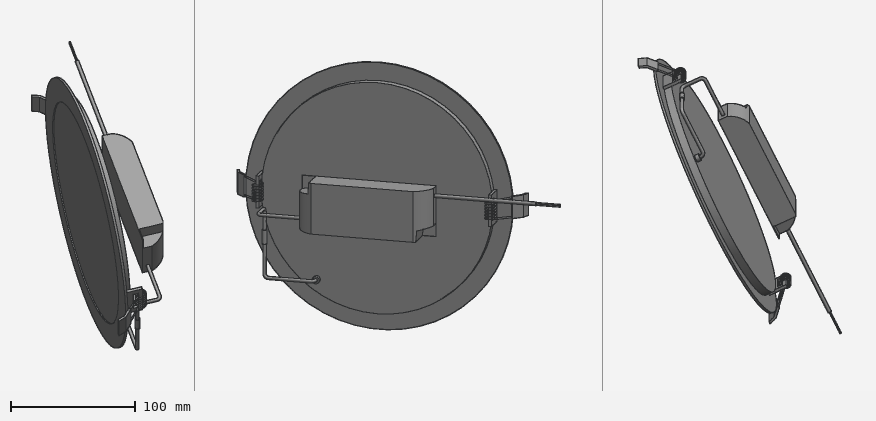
import cadquery as cq
import math


OVERALL_LENGTH = 282.2
OVERALL_DEPTH = 61.0
OVERLAP = 0.5

FLANGE_DIA = 223.0
FLANGE_THICK = 2.0
LENS_DIA = 183.0
LENS_RECESS = 1.0
DISC_DIA = 193.0
DISC_BACK_Y = 8.5

BRACKET_X = 97.0
BRACKET_THICK = 2.5
BRACKET_WIDTH = 26.5
BRACKET_TOP_Y = 18.0
WINDOW_BOTTOM_Y = 10.5
WINDOW_TOP_Y = 14.7
WINDOW_WIDTH = 17.5

DRIVER_LENGTH = 111.8
DRIVER_HEIGHT = 42.3
DRIVER_FRONT_Y = 30.8
DRIVER_BACK_Y = 52.2
SHOULDER_SIZE = 13.3
SHOULDER_RADIUS = 22.5
BASE_THICK = 0.8
NOTCH_LENGTH = 10.5
NOTCH_HEIGHT = 9.3
NOTCH_LENGTH_TAPER = 0.8
NOTCH_HEIGHT_TAPER = 1.7

CABLE_Y = 35.3
SUPPLY_DIA = 3.0
SUPPLY_Z = 14.0
SUPPLY_END_X = -140.5
STRAND_DIA = 1.3
STRAND_PITCH = 1.25
STRAND_END_X = -160.5
LAMP_CABLE_DIA = 2.8
LAMP_CABLE_Z = -13.5
BEND_RADIUS = 3.5
LOOP_X = 91.7
LOOP_Y = 15.8
SLEEVE_DIA = 4.0
SLEEVE_LENGTH = 11.9
SLEEVE_Z = -37.5
GLAND_X = 50.2
GLAND_Z = -71.7
GLAND_DIA = 6.0
GLAND_HEIGHT = 3.5

WIRE_DIA = 1.3
COIL_INNER_DIA = 6.5
COIL_Y = 17.0
COIL_TURNS = 6
COIL_LENGTH = 15.2
LEG_SPREAD = 16.6
LEG_ANGLE = math.radians(45)
PLATE_WIDTH = 18.5
PLATE_THICK = 2.0
PLATE_START = (111.5, 3.7)
PLATE_BEND = (118.2, -2.5)
TIP_X = STRAND_END_X + OVERALL_LENGTH
TIP_Y = DRIVER_BACK_Y - OVERALL_DEPTH


def rod(start, end, diameter):
    """Round bar between two points."""
    start = cq.Vector(*start)
    axis = cq.Vector(*end) - start
    return cq.Workplane(cq.Solid.makeCylinder(diameter / 2, axis.Length, start, axis))


def block(x_range, y_range, z_range):
    """Box given by its lower and upper limit along each axis."""
    limits = (x_range, y_range, z_range)
    sizes = [high - low for low, high in limits]
    corner = cq.Vector(*[low for low, high in limits])
    return cq.Workplane(cq.Solid.makeBox(*sizes, corner))


def disc(diameter, y_low, y_high):
    """Round disc around the Y axis."""
    return rod((0, y_low, 0), (0, y_high, 0), diameter)


def panel():
    """Trim ring with the recessed lens and the disc behind it."""
    body = disc(FLANGE_DIA, 0, FLANGE_THICK).union(disc(DISC_DIA, FLANGE_THICK - OVERLAP, DISC_BACK_Y))
    return body.cut(disc(LENS_DIA, -OVERLAP, LENS_RECESS))


def bracket(side):
    """Upright plate at one side (+1 or -1), with its window."""
    x_range = (side * BRACKET_X - BRACKET_THICK / 2, side * BRACKET_X + BRACKET_THICK / 2)
    plate = block(x_range, (FLANGE_THICK - OVERLAP, BRACKET_TOP_Y), (-BRACKET_WIDTH / 2, BRACKET_WIDTH / 2))
    window = block(x_range, (WINDOW_BOTTOM_Y, WINDOW_TOP_Y), (-WINDOW_WIDTH / 2, WINDOW_WIDTH / 2))
    return plate.cut(window)


def driver_notch():
    """Tapered cut at the -X, -Z corner, above the base plate."""
    end_x = -DRIVER_LENGTH / 2
    bottom_z = -DRIVER_HEIGHT / 2
    wall_x = end_x + NOTCH_LENGTH
    wall_z = bottom_z + NOTCH_HEIGHT
    base_top = DRIVER_FRONT_Y + BASE_THICK
    return (
        cq.Workplane("XZ", origin=(0, base_top, 0))
        .moveTo(end_x, bottom_z)
        .lineTo(end_x, wall_z + NOTCH_HEIGHT_TAPER)
        .lineTo(wall_x, wall_z)
        .lineTo(wall_x + NOTCH_LENGTH_TAPER, bottom_z)
        .close()
        .extrude(base_top - DRIVER_BACK_Y)
    )


def driver():
    """Box with two rounded shoulders and a notch at two opposite corners."""
    half = DRIVER_LENGTH / 2
    shoulder_y = DRIVER_BACK_Y - SHOULDER_SIZE
    top_half = half - SHOULDER_SIZE
    box = (
        cq.Workplane("XY", origin=(0, 0, -DRIVER_HEIGHT / 2))
        .moveTo(-half, DRIVER_FRONT_Y)
        .lineTo(half, DRIVER_FRONT_Y)
        .lineTo(half, shoulder_y)
        .radiusArc((top_half, DRIVER_BACK_Y), -SHOULDER_RADIUS)
        .lineTo(-top_half, DRIVER_BACK_Y)
        .radiusArc((-half, shoulder_y), -SHOULDER_RADIUS)
        .close()
        .extrude(DRIVER_HEIGHT)
    )
    for turn in (0, 180):
        box = box.cut(driver_notch().rotate((0, 0, 0), (0, 1, 0), turn))
    return box


def bent_cable(corners, diameter, radius):
    """Round cable along straight runs at right angles, joined by arcs."""
    points = [cq.Vector(*corner) for corner in corners]
    edges = []
    run_start = points[0]
    for before, corner, after in zip(points, points[1:], points[2:]):
        back = (before - corner).normalized() * radius
        ahead = (after - corner).normalized() * radius
        middle = corner + (back + ahead) * (1 - math.sqrt(0.5))
        edges.append(cq.Edge.makeLine(run_start, corner + back))
        edges.append(cq.Edge.makeThreePointArc(corner + back, middle, corner + ahead))
        run_start = corner + ahead
    edges.append(cq.Edge.makeLine(run_start, points[-1]))
    section = cq.Plane(origin=points[0], normal=points[1] - points[0])
    return cq.Workplane(section).circle(diameter / 2).sweep(cq.Wire.assembleEdges(edges))


def lamp_cable():
    """Cable from the driver down to the gland on the disc, with its sleeve."""
    cable = bent_cable(
        [
            (DRIVER_LENGTH / 2 - OVERLAP, CABLE_Y, LAMP_CABLE_Z),
            (LOOP_X, CABLE_Y, LAMP_CABLE_Z),
            (LOOP_X, LOOP_Y, LAMP_CABLE_Z),
            (LOOP_X, LOOP_Y, GLAND_Z),
            (GLAND_X, LOOP_Y, GLAND_Z),
            (GLAND_X, DISC_BACK_Y, GLAND_Z),
        ],
        LAMP_CABLE_DIA,
        BEND_RADIUS,
    )
    sleeve = rod(
        (LOOP_X, LOOP_Y, SLEEVE_Z - SLEEVE_LENGTH / 2),
        (LOOP_X, LOOP_Y, SLEEVE_Z + SLEEVE_LENGTH / 2),
        SLEEVE_DIA,
    )
    gland = rod(
        (GLAND_X, DISC_BACK_Y - OVERLAP, GLAND_Z),
        (GLAND_X, DISC_BACK_Y + GLAND_HEIGHT, GLAND_Z),
        GLAND_DIA,
    )
    return cable.union(sleeve).union(gland)


def supply_cable():
    """Straight supply cable ending in two bare strands."""
    inner_x = OVERLAP - DRIVER_LENGTH / 2
    cable = rod((SUPPLY_END_X, CABLE_Y, SUPPLY_Z), (inner_x, CABLE_Y, SUPPLY_Z), SUPPLY_DIA)
    strand_inner_x = SUPPLY_END_X + OVERLAP
    for side in (-1, 1):
        strand_z = SUPPLY_Z + side * STRAND_PITCH / 2
        strand = rod((STRAND_END_X, CABLE_Y, strand_z), (strand_inner_x, CABLE_Y, strand_z), STRAND_DIA)
        cable = cable.union(strand)
    return cable


def make_lamp():
    body = panel()
    for side in (-1, 1):
        body = body.union(bracket(side))
    return body.union(driver()).union(lamp_cable()).union(supply_cable())


def coil(radius):
    """Helical wire around the bracket's bar, starting and ending at the leg angle."""
    pitch = COIL_LENGTH / COIL_TURNS
    helix = cq.Wire.makeHelix(pitch, COIL_LENGTH, radius)
    climb = cq.Vector(0, 2 * math.pi * radius, pitch)
    section = cq.Plane(origin=(radius, 0, 0), xDir=(1, 0, 0), normal=climb)
    wire = cq.Workplane(section).circle(WIRE_DIA / 2).sweep(cq.Workplane(helix), isFrenet=True)
    turned = wire.rotate((0, 0, 0), (0, 0, 1), -math.degrees(LEG_ANGLE))
    return turned.translate((BRACKET_X, COIL_Y, -COIL_LENGTH / 2))


def clip_plate():
    """Bent plate at the end of the legs: a sloping part and a steeper tip."""
    tip = (TIP_X - PLATE_THICK / 2, TIP_Y)
    slope = math.atan2(PLATE_BEND[1] - PLATE_START[1], PLATE_BEND[0] - PLATE_START[0])
    tip_slope = math.atan2(tip[1] - PLATE_BEND[1], tip[0] - PLATE_BEND[0])
    miter_slope = (slope + tip_slope) / 2
    half_thick = PLATE_THICK / 2
    half_miter = half_thick / math.cos(miter_slope - slope)
    across = cq.Vector(-math.sin(slope), math.cos(slope)) * half_thick
    miter = cq.Vector(-math.sin(miter_slope), math.cos(miter_slope)) * half_miter
    tip_across = cq.Vector(half_thick, 0)
    stations = (
        (cq.Vector(*PLATE_START), across),
        (cq.Vector(*PLATE_BEND), miter),
        (cq.Vector(*tip), tip_across),
    )
    upper = [point + offset for point, offset in stations]
    lower = [point - offset for point, offset in stations]
    outline = cq.Workplane("XY", origin=(0, 0, -PLATE_WIDTH / 2)).polyline(upper + lower[::-1]).close()
    return outline.extrude(PLATE_WIDTH)


def make_clip():
    """Spring clip of the +X side: coil, two legs and the bent plate."""
    radius = (COIL_INNER_DIA + WIRE_DIA) / 2
    leg_start = (BRACKET_X + radius * math.cos(LEG_ANGLE), COIL_Y - radius * math.sin(LEG_ANGLE))
    body = coil(radius).union(clip_plate())
    for side in (-1, 1):
        coil_end = (*leg_start, side * COIL_LENGTH / 2)
        leg = rod(coil_end, (*PLATE_BEND, side * LEG_SPREAD / 2), WIRE_DIA)
        elbow = cq.Workplane("XY", origin=coil_end).sphere(WIRE_DIA / 2)
        body = body.union(leg).union(elbow)
    return body


lamp = make_lamp()
clips = [make_clip().rotate((0, 0, 0), (0, 1, 0), turn) for turn in (0, 180)]

result = cq.Compound.makeCompound([body.solids().val() for body in (lamp, *clips)])